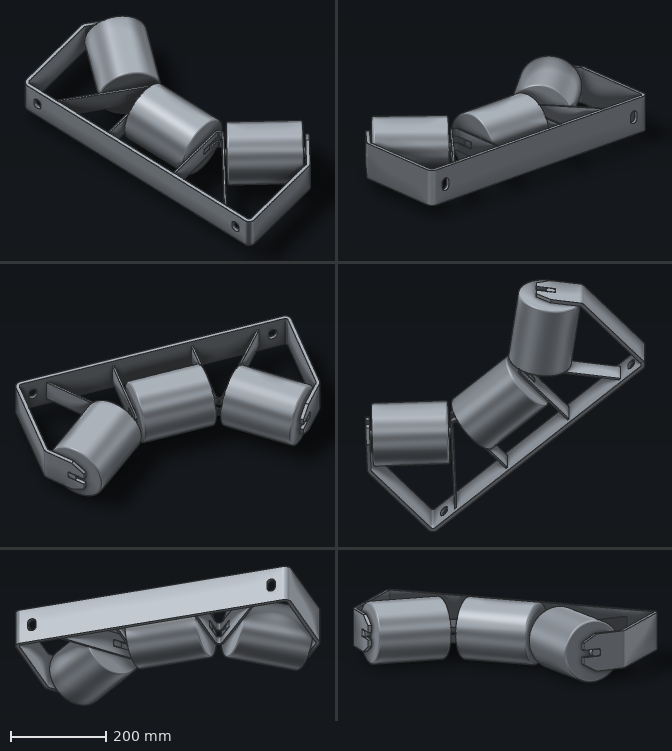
import cadquery as cq
import math

ROLLER_DIAMETER = 133.0
ROLLER_LENGTH = 160.0
ROLLER_EDGE_RADIUS = 4.0
SHAFT_DIAMETER = 20.0
SHAFT_FLAT_WIDTH = 14.0
SUPPORT_GAP = 5.5

SLOT_WIDTH = 16.0
SLOT_CORNER_RADIUS = 3.5

CENTER_ROLLER_Y = 125.0
WING_X = 190.5
WING_Y = 194.5
WING_TILT = 40.0

FRAME_WIDTH = 610.0
FRAME_HEIGHT = 80.0
FRAME_THICKNESS = 8.0
FRAME_BEND_RADIUS = 14.0
ARM_REACH = 30.0
ARM_CHAMFER_LENGTH = 30.5
ARM_CHAMFER_HEIGHT = 17.0

MOUNT_SLOT_X = 265.5
MOUNT_SLOT_WIDTH = 18.0
MOUNT_SLOT_HEIGHT = 28.0

BRACKET_HEIGHT = 50.0
BRACKET_THICKNESS = 4.0
BRACKET_BEND_RADIUS = 11.0

tilt = math.radians(WING_TILT)
axis_x, axis_y = math.cos(tilt), -math.sin(tilt)
plate_x, plate_y = math.sin(tilt), math.cos(tilt)
support_distance = ROLLER_LENGTH / 2 + SUPPORT_GAP
arm_shaft_reach = support_distance + FRAME_THICKNESS
bracket_shaft_reach = support_distance + BRACKET_THICKNESS
half_width = FRAME_WIDTH / 2


def wing_point(along_axis, along_plate):
    """Point given along the left wing roller's axis and square to it, from the roller centre."""
    return (
        -WING_X + along_axis * axis_x + along_plate * plate_x,
        WING_Y + along_axis * axis_y + along_plate * plate_y,
    )


def wing_point_at_x(along_axis, x):
    """Point with the given X on the line square to the left wing axis at a distance along it."""
    along_plate = (x + WING_X - along_axis * axis_x) / plate_x
    return wing_point(along_axis, along_plate)


def wing_point_at_y(along_axis, y):
    """Point with the given Y on the line square to the left wing axis at a distance along it."""
    along_plate = (y - WING_Y - along_axis * axis_y) / plate_y
    return wing_point(along_axis, along_plate)


def mirrored(points):
    """The points reflected in the YZ plane, in reverse order."""
    return [(-x, y) for x, y in reversed(points)]


def bent_strip(outer, inner, height, outer_radius, thickness):
    """Strip between two matching polylines, rounded concentrically at every bend."""
    strip = cq.Workplane("XY").polyline(outer + inner[::-1]).close().extrude(height)
    strip = strip.translate((0, 0, -height / 2))
    for corners, radius in ((outer, outer_radius), (inner, outer_radius - thickness)):
        for x, y in corners[1:-1]:
            strip = strip.edges(cq.NearestToPointSelector((x, y, 0))).fillet(radius)
    return strip


def cylinder(diameter, start, end):
    """Cylinder around the X axis from one X to another."""
    return cq.Workplane("YZ").workplane(offset=start).circle(diameter / 2).extrude(end - start)


def roller(left_reach, right_reach):
    """Roller along X, centred on the origin, with its shaft reaching out to both sides."""
    half_length = ROLLER_LENGTH / 2
    body = cylinder(ROLLER_DIAMETER, -half_length, half_length).edges("%CIRCLE").fillet(ROLLER_EDGE_RADIUS)
    shaft = cylinder(SHAFT_DIAMETER, -support_distance, support_distance)
    flatted_shaft = cylinder(SHAFT_DIAMETER, -left_reach, right_reach).intersect(
        cq.Workplane("XY").box(2 * (left_reach + right_reach), SHAFT_DIAMETER, SHAFT_FLAT_WIDTH)
    )
    return body.union(shaft).union(flatted_shaft)


def support_slot(start, end, length):
    """Cutter along X for a slot that holds a shaft on the X axis and is open towards +Y."""
    shaft_radius = SHAFT_DIAMETER / 2
    return (
        cq.Workplane("XY")
        .box(end - start, length + shaft_radius, SLOT_WIDTH, centered=(False, False, True))
        .translate((start, -shaft_radius, 0))
        .edges("|X and <Y")
        .fillet(SLOT_CORNER_RADIUS)
    )


def to_left_wing(shape):
    """Move a shape from the origin, axis along X, to the left wing roller's place."""
    return shape.rotate((0, 0, 0), (0, 0, 1), -WING_TILT).translate((-WING_X, WING_Y, 0))


def arm_chamfers():
    """Cutter for both corners of the left arm's tip, in wing roller coordinates."""
    half_height = FRAME_HEIGHT / 2
    corner = (
        cq.Workplane("YZ")
        .workplane(offset=-arm_shaft_reach)
        .polyline(
            [
                (ARM_REACH, half_height),
                (ARM_REACH - ARM_CHAMFER_LENGTH, half_height),
                (ARM_REACH, half_height - ARM_CHAMFER_HEIGHT),
            ]
        )
        .close()
        .extrude(FRAME_THICKNESS)
    )
    return corner.union(corner.mirror("XY"))


def outer_frame():
    left_outer = [
        wing_point(-arm_shaft_reach, ARM_REACH),
        wing_point_at_x(-arm_shaft_reach, -half_width),
        (-half_width, 0),
    ]
    inner_x = -half_width + FRAME_THICKNESS
    left_inner = [
        wing_point(-support_distance, ARM_REACH),
        wing_point_at_x(-support_distance, inner_x),
        (inner_x, FRAME_THICKNESS),
    ]
    frame = bent_strip(
        left_outer + mirrored(left_outer),
        left_inner + mirrored(left_inner),
        FRAME_HEIGHT,
        FRAME_BEND_RADIUS,
        FRAME_THICKNESS,
    )
    tip_cut = to_left_wing(support_slot(-arm_shaft_reach, -support_distance, ARM_REACH).union(arm_chamfers()))
    mount_slots = (
        cq.Workplane("XZ")
        .pushPoints([(-MOUNT_SLOT_X, 0), (MOUNT_SLOT_X, 0)])
        .slot2D(MOUNT_SLOT_HEIGHT, MOUNT_SLOT_WIDTH, 90)
        .extrude(-FRAME_THICKNESS)
    )
    return frame.cut(tip_cut).cut(tip_cut.mirror("YZ")).cut(mount_slots)


def left_bracket():
    """Bent strip with an inclined leg for the wing roller and an upright leg for the centre one."""
    foot_y = FRAME_THICKNESS / 2
    outer = [
        wing_point_at_y(support_distance, foot_y),
        wing_point_at_x(support_distance, -support_distance),
        (-support_distance, foot_y),
    ]
    inner = [
        wing_point_at_y(bracket_shaft_reach, foot_y),
        wing_point_at_x(bracket_shaft_reach, -bracket_shaft_reach),
        (-bracket_shaft_reach, foot_y),
    ]
    strip = bent_strip(outer, inner, BRACKET_HEIGHT, BRACKET_BEND_RADIUS, BRACKET_THICKNESS)
    slot_length = outer[1][1] - CENTER_ROLLER_Y
    slot_depth = 2 * BRACKET_BEND_RADIUS
    upright_slot = support_slot(-support_distance - slot_depth, -support_distance, slot_length)
    upright_slot = upright_slot.translate((0, CENTER_ROLLER_Y, 0))
    inclined_slot = to_left_wing(support_slot(support_distance, bracket_shaft_reach, slot_length))
    return strip.cut(upright_slot).cut(inclined_slot)


bracket = left_bracket()
center_roller = roller(bracket_shaft_reach, bracket_shaft_reach).translate((0, CENTER_ROLLER_Y, 0))
carrier = outer_frame().union(bracket).union(bracket.mirror("YZ")).union(center_roller)

left_wing_roller = to_left_wing(roller(arm_shaft_reach, bracket_shaft_reach))
wing_rollers = [wing.solids().val() for wing in (left_wing_roller, left_wing_roller.mirror("YZ"))]

result = cq.Compound.makeCompound([carrier.solids().val(), *wing_rollers])